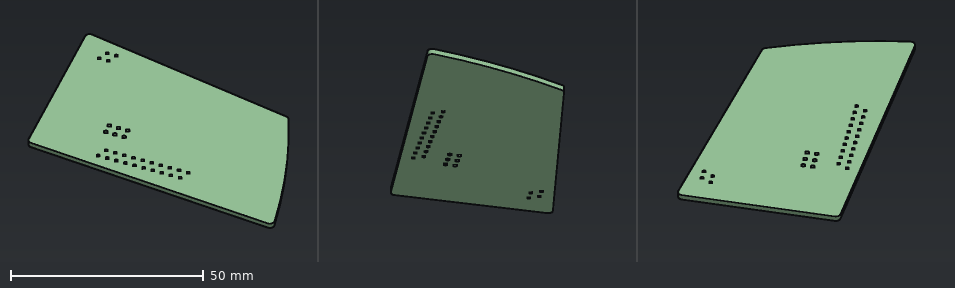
import cadquery as cq

THICKNESS = 1.6
LEFT_EDGE_LENGTH = 43.33
UPPER_RIGHT_CORNER = (60.2, 32.87)
LOWER_RIGHT_CORNER = (70.86, -5.796)
RIGHT_EDGE_BULGE = 1.27
CORNER_RADIUS = 1.27

PITCH = 2.54
HALF_PITCH = PITCH / 2
QUARTER_PITCH = PITCH / 4
SMALL_HOLE_DIAMETER = 0.8
LARGE_HOLE_DIAMETER = 1.02

LOWER_ROW_COUNT = 10
LOWER_ROW_X = 19.07
LOWER_ROW_Y = 1.85

BLOCK_COLUMNS = 3
BLOCK_ROWS = 2
BLOCK_X = LOWER_ROW_X - HALF_PITCH
BLOCK_Y = LOWER_ROW_Y + 7 * HALF_PITCH

UPPER_ROW_COUNT = 2
UPPER_ROW_X = LOWER_ROW_X - 5 * PITCH
UPPER_ROW_Y = LOWER_ROW_Y + 53 * QUARTER_PITCH


def make_plate():
    """Four-sided plate with a bowed right edge and rounded corners."""
    upper_x, upper_y = UPPER_RIGHT_CORNER
    lower_x, lower_y = LOWER_RIGHT_CORNER
    return (
        cq.Workplane("XY")
        .lineTo(lower_x, lower_y)
        .sagittaArc((upper_x, upper_y), -RIGHT_EDGE_BULGE)
        .lineTo(0, LEFT_EDGE_LENGTH)
        .close()
        .extrude(THICKNESS)
        .edges("|Z")
        .fillet(CORNER_RADIUS)
    )


def row(x, y, count):
    """Centres of a row of holes, one pitch apart, starting at (x, y)."""
    return [(x + i * PITCH, y) for i in range(count)]


def staggered_rows(x, y, count):
    """Two rows one pitch apart, the upper one shifted right by half a pitch."""
    return row(x, y, count) + row(x + HALF_PITCH, y + PITCH, count)


def hole_block():
    """Centres of the rectangular block of larger holes."""
    centres = []
    for i in range(BLOCK_ROWS):
        centres += row(BLOCK_X, BLOCK_Y + i * PITCH, BLOCK_COLUMNS)
    return centres


def through_holes(centres, diameter):
    """Cylinders that cut holes through the whole thickness."""
    return cq.Workplane("XY").pushPoints(centres).circle(diameter / 2).extrude(THICKNESS)


small_holes = staggered_rows(LOWER_ROW_X, LOWER_ROW_Y, LOWER_ROW_COUNT)
small_holes += staggered_rows(UPPER_ROW_X, UPPER_ROW_Y, UPPER_ROW_COUNT)

result = (
    make_plate()
    .cut(through_holes(small_holes, SMALL_HOLE_DIAMETER))
    .cut(through_holes(hole_block(), LARGE_HOLE_DIAMETER))
)